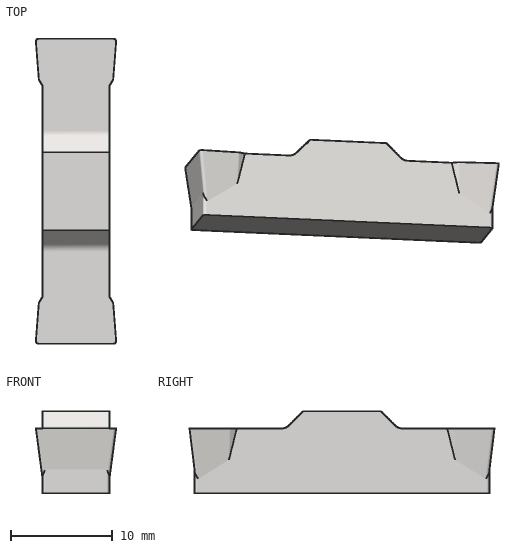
import cadquery as cq
import math

shank_width = 6.6
shank_length = 29.04
corner_radius = 0.3

total_height = 8.08
deck_height = 6.39

hump_top_length = 7.66
hump_slope_angle = 45.0
hump_root_radius = 1.0

overall_length = 30.04
head_width = 7.97
neck_width = 7.34
neck_y = 11.0
neck_radius = 0.3
shoulder_y = 10.35
head_draft_angle = 7.0
shoulder_overlap = 0.8


def make_shank():
    """Bar up to deck height with rounded vertical corners."""
    bar = cq.Workplane("XY").box(shank_width, shank_length, deck_height, centered=(True, True, False))
    return bar.edges("|Z").fillet(corner_radius)


def make_hump():
    """Trapezoidal hump on the deck, blended into it by arcs at both roots."""
    slope = math.radians(hump_slope_angle)
    tangent = hump_root_radius * math.tan(slope / 2)
    top_y = hump_top_length / 2
    root_y = top_y + (total_height - deck_height) / math.tan(slope)
    deck_y = root_y + tangent
    slope_y = root_y - tangent * math.cos(slope)
    slope_z = deck_height + tangent * math.sin(slope)
    arc_y = deck_y - hump_root_radius * math.sin(slope / 2)
    arc_z = deck_height + hump_root_radius * (1 - math.cos(slope / 2))
    profile = (
        cq.Workplane("YZ", origin=(-shank_width / 2, 0, 0))
        .moveTo(-deck_y, deck_height)
        .threePointArc((-arc_y, arc_z), (-slope_y, slope_z))
        .lineTo(-top_y, total_height)
        .lineTo(top_y, total_height)
        .lineTo(slope_y, slope_z)
        .threePointArc((arc_y, arc_z), (deck_y, deck_height))
        .close()
    )
    return profile.extrude(shank_width)


def make_head():
    """Head at the +Y end: narrows toward the neck and drafts inward below the deck."""
    end_y = overall_length / 2
    shank_x = shank_width / 2
    neck_x = neck_width / 2
    inner_x = shank_x - shoulder_overlap
    shoulder_slope = (neck_y - shoulder_y) / (neck_x - shank_x)
    inner_y = shoulder_y - shoulder_overlap * shoulder_slope
    right_side = [(inner_x, inner_y), (neck_x, neck_y), (head_width / 2, end_y)]
    left_side = [(-x, y) for x, y in reversed(right_side)]
    head = (
        cq.Workplane("XY", origin=(0, 0, deck_height))
        .polyline(right_side + left_side)
        .close()
        .extrude(-deck_height, taper=head_draft_angle)
    )
    middle_y = (neck_y + end_y) / 2
    end_corners = head.edges("not #Z").filter(lambda edge: edge.Center().y > middle_y)
    head = end_corners.fillet(corner_radius)
    neck_corners = head.edges("not #Z").filter(
        lambda edge: edge.Center().y < middle_y and abs(edge.Center().x) > inner_x
    )
    return neck_corners.fillet(neck_radius)


rear_head = make_head()
front_head = rear_head.mirror("XZ")
result = make_shank().union(make_hump()).union(rear_head).union(front_head).clean()